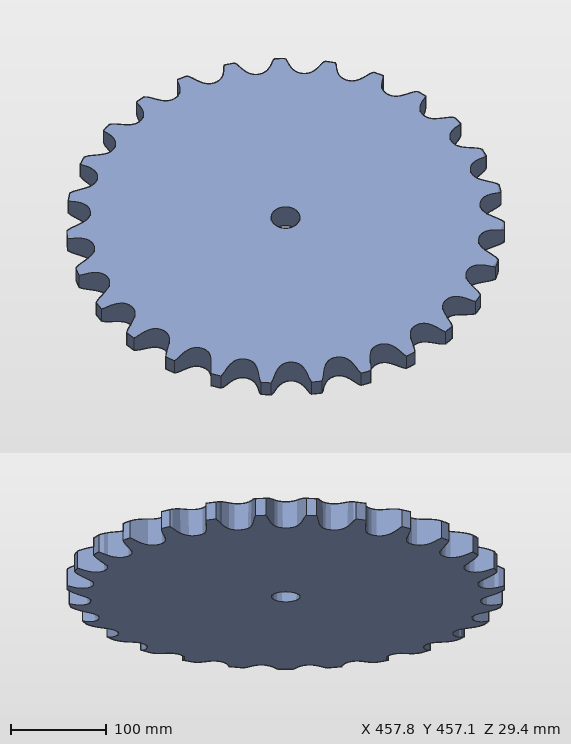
import cadquery as cq
import math

pitch = 50.8
roller_diameter = 29.21

tooth_count = 27
thickness = 29.4
tip_diameter = 458.1
bore_diameter = 30.0

form_clearance = 0.0381
seat_radius = 0.5025 * roller_diameter + form_clearance
seat_half_angle = 55 - 60 / tooth_count
working_angle = 18 - 56 / tooth_count
working_offset = 0.8 * roller_diameter
working_radius = working_offset + seat_radius
topping_offset = 1.4 * roller_diameter

face_diameter = 410.0
side_radius = 58.0

tooth_angle = 360 / tooth_count
pitch_radius = pitch / 2 / math.sin(math.radians(tooth_angle / 2))
root_radius = pitch_radius - seat_radius
tip_radius = tip_diameter / 2
face_radius = face_diameter / 2
cut_overlap = 5.0


def make_blank():
    """Turned disc with convex rounding on both sides of the rim."""
    rim_depth = tip_radius - face_radius

    def rounding_drop(distance):
        return side_radius - math.sqrt(side_radius**2 - distance**2)

    half_thickness = thickness / 2
    half_tip = half_thickness - rounding_drop(rim_depth)
    mid_radius = face_radius + rim_depth / 2
    half_mid = half_thickness - rounding_drop(rim_depth / 2)
    profile = (
        cq.Workplane("XZ")
        .moveTo(0, -half_thickness)
        .lineTo(face_radius, -half_thickness)
        .threePointArc((mid_radius, -half_mid), (tip_radius, -half_tip))
        .lineTo(tip_radius, half_tip)
        .threePointArc((mid_radius, half_mid), (face_radius, half_thickness))
        .lineTo(0, half_thickness)
        .close()
    )
    return profile.revolve(360, (0, 0, 0), (0, 1, 0))


def step(start, angle, distance):
    """Point at a distance from start, along a direction measured from -Y towards +X."""
    turn = math.radians(angle)
    return start[0] + distance * math.sin(turn), start[1] - distance * math.cos(turn)


def make_half_gap():
    """Cutter for the +X half of the tooth gap that lies on the +Y axis."""
    roller_center = (0, pitch_radius)
    flank_angle = seat_half_angle + working_angle

    seat_mid = step(roller_center, seat_half_angle / 2, seat_radius)
    seat_end = step(roller_center, seat_half_angle, seat_radius)
    working_center = step(roller_center, seat_half_angle, -working_offset)
    working_mid = step(working_center, seat_half_angle + working_angle / 2, working_radius)
    working_end = step(working_center, flank_angle, working_radius)

    topping_center = step(roller_center, 90 - tooth_angle / 2, topping_offset)
    normal_x, normal_y = step((0, 0), flank_angle, 1)
    reach_x = topping_center[0] - working_end[0]
    reach_y = topping_center[1] - working_end[1]
    topping_radius = reach_x * normal_x + reach_y * normal_y
    flank_end = step(topping_center, flank_angle, -topping_radius)

    cut_height = tip_radius + cut_overlap
    topping_rise = math.degrees(math.asin((cut_height - topping_center[1]) / topping_radius))
    topping_start_angle = flank_angle - 180
    topping_end_angle = -90 - topping_rise
    topping_mid = step(topping_center, (topping_start_angle + topping_end_angle) / 2, topping_radius)
    topping_end = step(topping_center, topping_end_angle, topping_radius)
    return (
        cq.Workplane("XY")
        .workplane(offset=-thickness)
        .moveTo(0, root_radius)
        .threePointArc(seat_mid, seat_end)
        .threePointArc(working_mid, working_end)
        .lineTo(*flank_end)
        .threePointArc(topping_mid, topping_end)
        .lineTo(0, cut_height)
        .close()
        .extrude(2 * thickness)
    )


half_gap = make_half_gap()
gap = half_gap.union(half_gap.mirror("YZ"))
sprocket = make_blank()
for index in range(tooth_count):
    sprocket = sprocket.cut(gap.rotate((0, 0, 0), (0, 0, 1), index * tooth_angle))
bore = cq.Workplane("XY").circle(bore_diameter / 2).extrude(thickness, both=True)
result = sprocket.cut(bore)